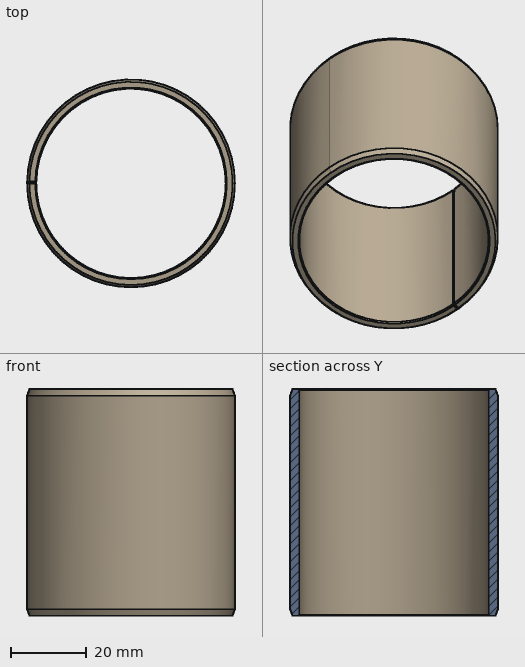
import cadquery as cq
import math

inner_diameter = 50.0
wall_thickness = 2.5
length = 60.0

outer_chamfer_height = 1.8
outer_chamfer_angle = 20.0

bore_chamfer = 0.35

joint_gap = 0.47

bore_radius = inner_diameter / 2
outer_radius = bore_radius + wall_thickness
half_length = length / 2
outer_chamfer_width = outer_chamfer_height * math.tan(math.radians(outer_chamfer_angle))


def make_sleeve():
    """Revolve the chamfered wall section around Z."""
    rim_outer_radius = outer_radius - outer_chamfer_width
    rim_inner_radius = bore_radius + bore_chamfer
    outer_chamfer_z = half_length - outer_chamfer_height
    bore_chamfer_z = half_length - bore_chamfer
    wall_section = [
        (bore_radius, -bore_chamfer_z),
        (rim_inner_radius, -half_length),
        (rim_outer_radius, -half_length),
        (outer_radius, -outer_chamfer_z),
        (outer_radius, outer_chamfer_z),
        (rim_outer_radius, half_length),
        (rim_inner_radius, half_length),
        (bore_radius, bore_chamfer_z),
    ]
    section = cq.Workplane("XZ").polyline(wall_section).close()
    return section.revolve(360, (0, 0), (0, 1))


def make_joint_cutter():
    """Full-length slab that opens the wall on the -X side only."""
    slab = cq.Workplane("XY").box(outer_radius, joint_gap, length)
    return slab.translate((-outer_radius, joint_gap / 2, 0))


result = make_sleeve().cut(make_joint_cutter())